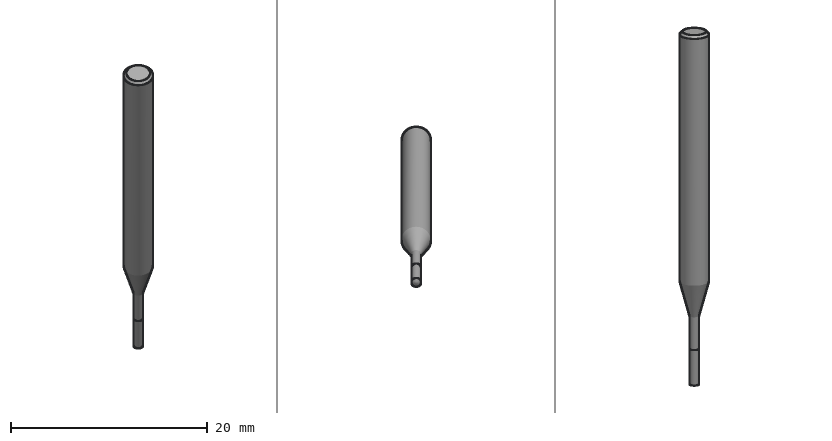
import cadquery as cq
import math

total_length = 38.0
shank_diameter = 3.0
tip_diameter = 1.0
point_angle = 140.0

cutter_top = 4.0
taper_bottom = 7.5
taper_top = 11.2

end_chamfer_height = 0.3
end_chamfer_width = 0.3

shank_radius = shank_diameter / 2
tip_radius = tip_diameter / 2
point_height = tip_radius / math.tan(math.radians(point_angle / 2))


def revolve_about_z(profile):
    """Turn a closed (radius, height) profile about the Z axis."""
    return cq.Workplane("XZ").polyline(profile).close().revolve(360, (0, 0), (0, 1))


def make_shank():
    """Chamfered shank, conical taper and thin neck."""
    return revolve_about_z([
        (0, cutter_top),
        (tip_radius, cutter_top),
        (tip_radius, taper_bottom),
        (shank_radius, taper_top),
        (shank_radius, total_length - end_chamfer_height),
        (shank_radius - end_chamfer_width, total_length),
        (0, total_length),
    ])


def make_cutter():
    """Cylindrical cutting section with a conical point, flush against the neck."""
    return revolve_about_z([
        (0, 0),
        (tip_radius, point_height),
        (tip_radius, cutter_top),
        (0, cutter_top),
    ])


shank = make_shank()
cutter = make_cutter()

result = cq.Compound.makeCompound([shank.val(), cutter.val()])